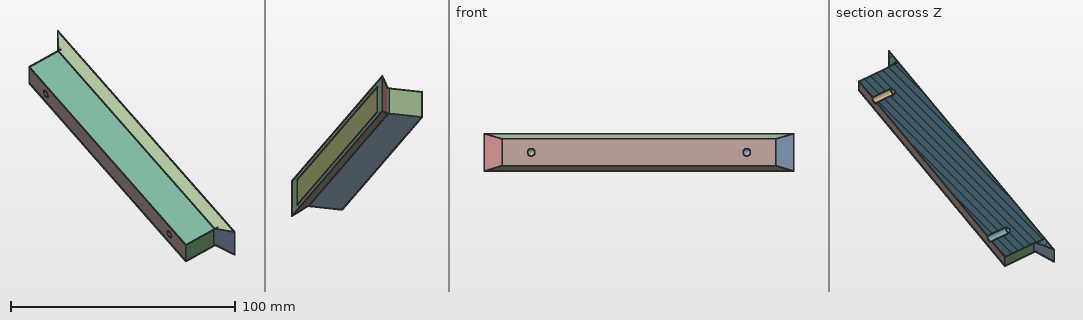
import cadquery as cq
import math

LENGTH = 138.0
DEPTH = 21.0
HEIGHT = 16.7

BAR_LENGTH = 122.0
BAR_HEIGHT = 12.0

TAPER_DEPTH = 5.0
ROOT_RADIUS = 1.4

HOLE_SPACING = 96.0
HOLE_DIAMETER = 3.3
HOLE_DEPTH = 9.7
DRILL_POINT_ANGLE = 118.0

back_y = DEPTH / 2
front_y = -DEPTH / 2
root_y = back_y - TAPER_DEPTH


def make_bar_block():
    """Plain block of the bar, also the shape of the flange opening."""
    return cq.Workplane("XY").box(BAR_LENGTH, DEPTH, BAR_HEIGHT)


def extrude_flared_profile(plane, half_back, half_bar, width):
    """Symmetric flared profile, wide at the back face, extruded to a centred width.

    The plane's local y axis is the part's Y. Each slope runs into the bar
    surface through an arc tangent to both, and the profile goes on to the front.
    """
    turn = math.atan2(half_back - half_bar, TAPER_DEPTH)
    tangent = ROOT_RADIUS * math.tan(turn / 2)
    arc_start = (half_bar + tangent * math.sin(turn), root_y + tangent * math.cos(turn))
    arc_end = (half_bar, root_y - tangent)
    arc_middle = (
        half_bar + ROOT_RADIUS * (1 - math.cos(turn / 2)),
        arc_end[1] + ROOT_RADIUS * math.sin(turn / 2),
    )

    def mirrored(point):
        return (-point[0], point[1])

    return (
        cq.Workplane(plane)
        .moveTo(half_back, back_y)
        .lineTo(*arc_start)
        .threePointArc(arc_middle, arc_end)
        .lineTo(half_bar, front_y)
        .lineTo(-half_bar, front_y)
        .lineTo(*mirrored(arc_end))
        .threePointArc(mirrored(arc_middle), mirrored(arc_start))
        .lineTo(-half_back, back_y)
        .close()
        .extrude(width / 2, both=True)
    )


def make_flange():
    """Tapered ring around the bar: two crossed flared profiles less the opening."""
    end_flare = extrude_flared_profile(cq.Plane.XY(), LENGTH / 2, BAR_LENGTH / 2, HEIGHT)
    side_plane = cq.Plane(origin=(0, 0, 0), xDir=(0, 0, 1), normal=(-1, 0, 0))
    side_flare = extrude_flared_profile(side_plane, HEIGHT / 2, BAR_HEIGHT / 2, LENGTH)
    return end_flare.intersect(side_flare).cut(make_bar_block())


def make_drilled_hole(x):
    """Cutting shape of one blind hole, drilled from the front face toward +Y."""
    radius = HOLE_DIAMETER / 2
    point_depth = radius / math.tan(math.radians(DRILL_POINT_ANGLE / 2))
    return (
        cq.Workplane("XY", origin=(x, front_y, 0))
        .polyline([(0, 0), (radius, 0), (radius, HOLE_DEPTH), (0, HOLE_DEPTH + point_depth)])
        .close()
        .revolve(360, (0, 0, 0), (0, 1, 0))
    )


def make_bar():
    """Bar with two blind holes in its front face."""
    drilled_bar = make_bar_block()
    for side in (-1, 1):
        drilled_bar = drilled_bar.cut(make_drilled_hole(side * HOLE_SPACING / 2))
    return drilled_bar


flange = make_flange()
bar = make_bar()

result = cq.Compound.makeCompound([*flange.solids().vals(), *bar.solids().vals()])